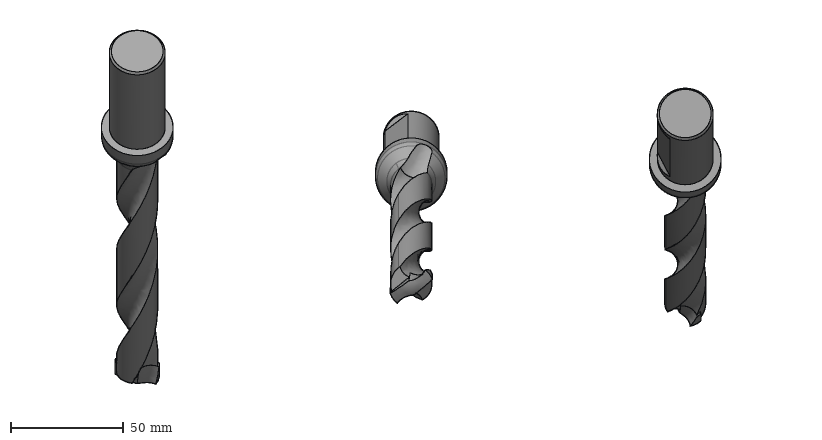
import cadquery as cq
import math

total_length = 242.0
flange_top = 186.0
flange_cone_top = 178.0
neck_cone_bottom = 169.0

shank_diameter = 25.0
flange_diameter = 32.0
body_diameter = 18.5
shank_chamfer = 1.0
flange_round = 5.0
neck_round = 8.7

end_height = 5.0
end_slope = 0.37
end_tilt = 7.0

flat_offset = 10.6
flat_bottom = 191.2
flat_top = 237.2
flat_ramp = 2.0

flute_count = 2
flute_pitch = 157.3
flute_facing_x = 27.0
flute_top = 166.5
flute_floor_radius = 3.5
flute_half_angle = 42.0
flute_overrun = 2.5

runout_height = 13.5
runout_outward = 12.5

insert_diameter = 19.8
insert_thickness = 6.5
insert_top = 12.0
insert_corner = 3.5

shank_radius = shank_diameter / 2
flange_radius = flange_diameter / 2
body_radius = body_diameter / 2
insert_radius = insert_diameter / 2

flute_edge_x = body_radius * math.cos(math.radians(flute_half_angle))
flute_edge_y = body_radius * math.sin(math.radians(flute_half_angle))
flute_depth = flute_edge_x - flute_floor_radius
flute_radius = (flute_depth**2 + flute_edge_y**2) / (2 * flute_depth)
flute_center = flute_floor_radius + flute_radius


def flute_azimuth(height, index):
    """Direction in degrees that a flute faces at a given height."""
    return 360 * ((height - flute_facing_x) / flute_pitch + index / flute_count)


def helical_flute(index):
    """Right-handed helical cutter from below the drill point up to the neck."""
    height = flute_top + flute_overrun
    return (
        cq.Workplane("XY")
        .moveTo(flute_center, 0)
        .circle(flute_radius)
        .twistExtrude(height, 360 * height / flute_pitch)
        .translate((0, 0, -flute_overrun))
        .rotate((0, 0, 0), (0, 0, 1), flute_azimuth(-flute_overrun, index))
    )


def flute_runout(index):
    """Oblique straight cutter that carries a flute up and out through the cone."""
    section = cq.Wire.makeCircle(
        flute_radius, cq.Vector(flute_center, 0, flute_top), cq.Vector(0, 0, 1)
    )
    sideways = 2 * math.pi * flute_center * runout_height / flute_pitch
    travel = cq.Vector(runout_outward, sideways, runout_height)
    cutter = cq.Workplane(cq.Solid.extrudeLinear(section, [], travel))
    return cutter.rotate((0, 0, 0), (0, 0, 1), flute_azimuth(flute_top, index))


def clamping_flat():
    """Cutter for the flat, with a sloped ramp at each end."""
    return (
        cq.Workplane("YZ")
        .moveTo(flat_offset, flat_bottom)
        .lineTo(flat_offset, flat_top)
        .lineTo(flat_offset + flat_ramp, flat_top + flat_ramp)
        .lineTo(flat_offset + flat_ramp, flat_bottom - flat_ramp)
        .close()
        .extrude(shank_radius, both=True)
    )


def round_ring(body, height, radius):
    """Round the circular edge that lies at the given height."""
    reach = flange_diameter
    margin = 0.2
    ring = cq.selectors.BoxSelector(
        (-reach, -reach, height - margin), (reach, reach, height + margin), boundingbox=True
    )
    return body.edges(ring).fillet(radius)


def insert_envelope():
    """Block that bounds the insert and forms its slot through the holder."""
    return cq.Workplane("XY").box(
        flange_diameter, insert_thickness, insert_top, centered=(True, True, False)
    )


def end_relief(index):
    """Cutter below one sloping end face; the other face is a half turn away."""
    reach = body_diameter
    return (
        cq.Workplane("YZ")
        .moveTo(0, end_height)
        .lineTo(-reach, end_height + end_slope * reach)
        .lineTo(-reach, -reach)
        .lineTo(0, -reach)
        .close()
        .extrude(reach, both=True)
        .rotate((0, 0, end_height), (0, 1, end_height), -end_tilt)
        .rotate((0, 0, 0), (0, 0, 1), 360 * index / flute_count)
    )


def build_holder():
    """Shank, flange and fluted body in one piece."""
    holder = (
        cq.Workplane("YZ")
        .lineTo(body_radius, 0)
        .lineTo(body_radius, neck_cone_bottom)
        .lineTo(flange_radius, flange_cone_top)
        .lineTo(flange_radius, flange_top)
        .lineTo(shank_radius, flange_top)
        .lineTo(shank_radius, total_length)
        .lineTo(0, total_length)
        .close()
        .revolve(360, (0, 0), (0, 1))
    )
    holder = holder.faces(">Z").edges().chamfer(shank_chamfer)
    holder = round_ring(holder, flange_cone_top, flange_round)
    holder = round_ring(holder, neck_cone_bottom, neck_round)
    holder = holder.cut(clamping_flat()).cut(insert_envelope())
    for index in range(flute_count):
        holder = holder.cut(end_relief(index))
        holder = holder.cut(helical_flute(index)).cut(flute_runout(index))
    return holder


def build_insert():
    """Pointed cutting blade, ground away along the flutes."""
    insert = (
        cq.Workplane("XZ")
        .lineTo(insert_radius, insert_corner)
        .lineTo(insert_radius, insert_top)
        .lineTo(0, insert_top)
        .close()
        .revolve(360, (0, 0), (0, 1))
        .intersect(insert_envelope())
    )
    for index in range(flute_count):
        insert = insert.cut(helical_flute(index))
    return insert


holder = build_holder()
insert = build_insert()
result = cq.Compound.makeCompound([holder.val(), insert.val()])